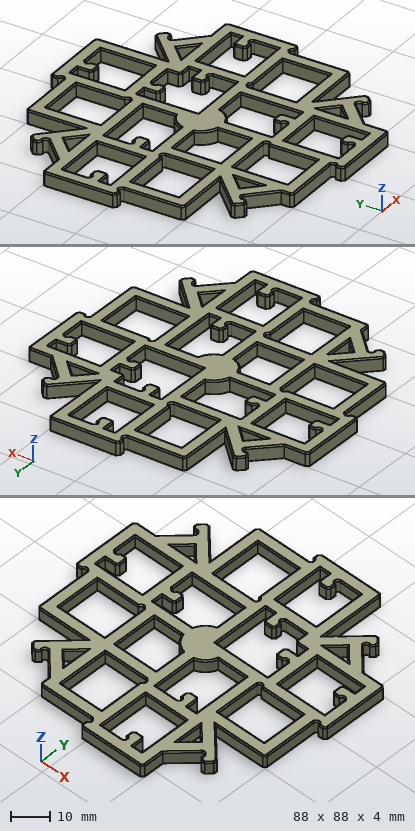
import cadquery as cq
thickness = 4.0
bar = 4.0
half_bar = bar / 2
pitch = 20.0
reach = 2 * pitch
tip_reach = reach + bar
cell_end = pitch - bar
outer_cell_start = pitch + bar
outer_cell_end = reach - bar

hub_radius = 6.7
brace_root = 15.0
corner_cut = 0.8
top_chamfer = 0.4
chamfer_angle = 45.0

hook_length = 4.28
hook_flank = 9.0
notch_radius = 0.8


def block(x0, y0, x1, y1):
    """Full-thickness block between two plan corners, with its upright and top edges bevelled."""
    body = cq.Workplane("XY").box(x1 - x0, y1 - y0, thickness, centered=False).translate((x0, y0, 0))
    return body.edges("|Z").chamfer(corner_cut).faces(">Z").edges().chamfer(top_chamfer)


def flared_cutter(profile):
    """Straight-sided cutter through the plate that widens at the top to leave a chamfered rim."""
    shank = cq.Workplane("XY").add(profile.val()).toPending().extrude(thickness)
    rim = profile.val().offset2D(top_chamfer, "intersection")
    flare = cq.Workplane("XY").add(rim).toPending().extrude(top_chamfer, taper=chamfer_angle)
    return shank.union(flare.mirror("XY").translate((0, 0, thickness)))


def cell(x0, y0, x1, y1):
    """Cutter for a rectangular cell between two plan corners."""
    outline = cq.Workplane("XY").center((x0 + x1) / 2, (y0 + y1) / 2).rect(x1 - x0, y1 - y0)
    return flared_cutter(outline)


def notch(x, y):
    """Cutter for a round notch centred at x, y, with a conical flare at the top."""
    shank = cq.Workplane("XY").center(x, y).circle(notch_radius).extrude(thickness)
    flare_base = cq.Vector(x, y, thickness - top_chamfer)
    return shank.union(cq.Solid.makeCone(notch_radius, notch_radius + top_chamfer, top_chamfer, flare_base))


def turned(shape, angle):
    """The shape turned about the Z axis."""
    return shape.rotate((0, 0, 0), (0, 0, 1), angle)


def mirrored_pair(shape):
    """The shape together with its mirror image across the YZ plane."""
    return shape.union(shape.mirror("YZ"))


def make_tiles():
    """Four overlapping rectangles that give the stepped outline."""
    tall = block(-half_bar, -tip_reach, pitch, tip_reach)
    short = block(-pitch, -reach, half_bar, reach)
    long = block(-tip_reach, -half_bar, tip_reach, pitch)
    wide = block(-reach, -pitch, reach, half_bar)
    return tall.union(short).union(long).union(wide)


def make_arm():
    """Arm along +X with a notched tip and a brace on its -Y side, before it is turned to a diagonal."""
    arm = block(pitch, -half_bar, tip_reach, half_bar)
    brace = block(outer_cell_end, -brace_root, reach, 0)
    return arm.union(brace).cut(notch(reach + notch_radius, -half_bar))


def make_arms():
    """One arm on each diagonal."""
    return mirrored_pair(turned(make_arm(), 45).union(turned(make_arm(), -45)))


def make_side_cells():
    """Cells to the left and right of the inner ones."""
    upper = cell(outer_cell_start, half_bar, reach, cell_end)
    lower = cell(pitch, -cell_end, outer_cell_end, -half_bar)
    return mirrored_pair(upper.union(lower))


def make_end_cells():
    """Cells above and below the inner ones."""
    right = cell(half_bar, outer_cell_start, cell_end, reach)
    left = cell(-cell_end, pitch, -half_bar, outer_cell_end)
    upper = right.union(left)
    return upper.union(upper.mirror("XZ"))


def make_hub_cells():
    """The three inner cells that the hub reaches into."""
    upper_left = cell(-pitch, half_bar, -half_bar, cell_end)
    lower_left = cell(-cell_end, -cell_end, -half_bar, -half_bar)
    lower_right = cell(half_bar, -pitch, cell_end, -half_bar)
    return upper_left.union(lower_left).union(lower_right)


def make_stepped_cell():
    """The upper right inner cell: an L with a bevelled inside corner."""
    outline = (
        cq.Workplane("XY")
        .moveTo(half_bar, half_bar)
        .lineTo(pitch, half_bar)
        .lineTo(pitch, cell_end)
        .lineTo(cell_end + corner_cut, cell_end)
        .lineTo(cell_end, cell_end + corner_cut)
        .lineTo(cell_end, pitch)
        .lineTo(half_bar, pitch)
        .close()
    )
    return flared_cutter(outline)


def make_hub():
    """Disc at the centre with a chamfered top rim."""
    disc = cq.Workplane("XY").circle(hub_radius).extrude(thickness)
    return disc.faces(">Z").edges().chamfer(top_chamfer)


def make_hook(wall, left, notched_flank):
    """Hook that hangs in -Y direction from the wall at y = wall and is rooted in that wall."""
    hook = block(left, wall - hook_length, left + bar, wall + half_bar)
    return hook.cut(notch(notched_flank, wall - notch_radius))


def add_hooks(plate):
    """One hook in the inner and one in the outer cell of each side."""
    for wall in (pitch, reach):
        right_notched = make_hook(wall, hook_flank - bar, hook_flank)
        left_notched = make_hook(wall, -hook_flank - bar, -hook_flank)
        plate = plate.union(right_notched)
        plate = plate.union(turned(right_notched, 90))
        plate = plate.union(turned(left_notched, 180))
        plate = plate.union(turned(left_notched, 270))
    return plate


def cut_wall_notches(plate):
    """Round notches beside the corners where tiles and bars meet."""
    for wall in (pitch, reach):
        along = wall + notch_radius
        for x, y in ((-half_bar, along), (-half_bar, -along), (along, -half_bar), (-along, -half_bar)):
            plate = plate.cut(notch(x, y))
    return plate


result = make_tiles().union(make_arms())
result = result.cut(make_side_cells()).cut(make_end_cells()).cut(make_hub_cells())
result = result.union(make_hub()).cut(make_stepped_cell())
result = add_hooks(result)
result = cut_wall_notches(result).solids()